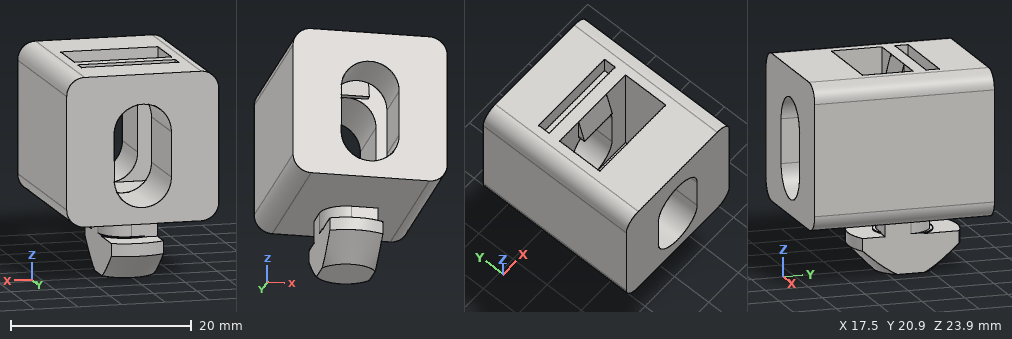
import cadquery as cq

block_width = 17.46
block_length = 20.95
block_height = 16.93
edge_radius = 2.05

passage_width = 6.55
passage_height = 11.68
passage_floor = 1.87

opening_width = 11.15
web_front = 2.0
web_thickness = 1.53
pocket_length = 5.87
slit_length = 1.53
pocket_depth = block_height - passage_floor
slit_depth = 2.5

catch_width = 4.7
catch_reach = 0.85
catch_height = block_height - passage_floor - passage_height

nut_y = 2.6
nut_width = 6.0
stem_length = 2.48
head_diameter = 12.74
tip_diameter = 6.72
rim_height = 1.45
cone_height = (head_diameter - tip_diameter) / 2
nut_height = stem_length + rim_height + cone_height

collar_height = 0.1
collar_diameter = tip_diameter


def make_block():
    block = cq.Workplane("XY").box(block_width, block_length, block_height, centered=(True, True, False))
    return block.edges("|Y").fillet(edge_radius)


def make_passage():
    centre_z = passage_floor + passage_height / 2
    return (
        cq.Workplane("XZ")
        .center(0, centre_z)
        .slot2D(passage_height, passage_width, 90)
        .extrude(block_length / 2, both=True)
    )


def make_opening(front_y, length, depth):
    """Rectangular opening sunk into the top face."""
    opening = cq.Workplane("XY").box(opening_width, length, depth, centered=(True, False, False))
    return opening.translate((0, front_y, block_height - depth))


def make_catch():
    """Wedge that grows away from the web as it goes down from the top face."""
    catch_bottom = block_height - catch_height
    return (
        cq.Workplane("YZ")
        .moveTo(web_front, block_height)
        .lineTo(web_front - catch_reach, catch_bottom)
        .lineTo(web_front, catch_bottom)
        .close()
        .extrude(catch_width / 2, both=True)
    )


def make_head():
    """Round head with a conical underside, cut to the nut width by two flats."""
    head_top = -stem_length
    rim_bottom = head_top - rim_height
    tip_bottom = -nut_height
    collar_top = head_top + collar_height
    turned = (
        cq.Workplane("XZ")
        .moveTo(0, tip_bottom)
        .lineTo(tip_diameter / 2, tip_bottom)
        .lineTo(head_diameter / 2, rim_bottom)
        .lineTo(head_diameter / 2, head_top)
        .lineTo(collar_diameter / 2, head_top)
        .lineTo(collar_diameter / 2, collar_top)
        .lineTo(0, collar_top)
        .close()
        .revolve(360, (0, 0, 0), (0, 1, 0))
    )
    flats = cq.Workplane("XY").box(nut_width, head_diameter, 2 * nut_height)
    return turned.intersect(flats)


def make_stem():
    """Round stem with two opposite square corners that stop the nut after a quarter turn."""
    radius = nut_width / 2
    stem = cq.Workplane("XY").circle(radius).extrude(-stem_length)
    for side in (1, -1):
        corner = cq.Workplane("XY").center(side * radius / 2, -side * radius / 2).rect(radius, radius)
        stem = stem.union(corner.extrude(-stem_length))
    return stem


pocket = make_opening(web_front - pocket_length, pocket_length, pocket_depth)
slit = make_opening(web_front + web_thickness, slit_length, slit_depth)
nut = make_head().union(make_stem()).translate((0, nut_y, 0))

result = make_block().cut(make_passage()).cut(pocket).cut(slit).union(make_catch()).union(nut)